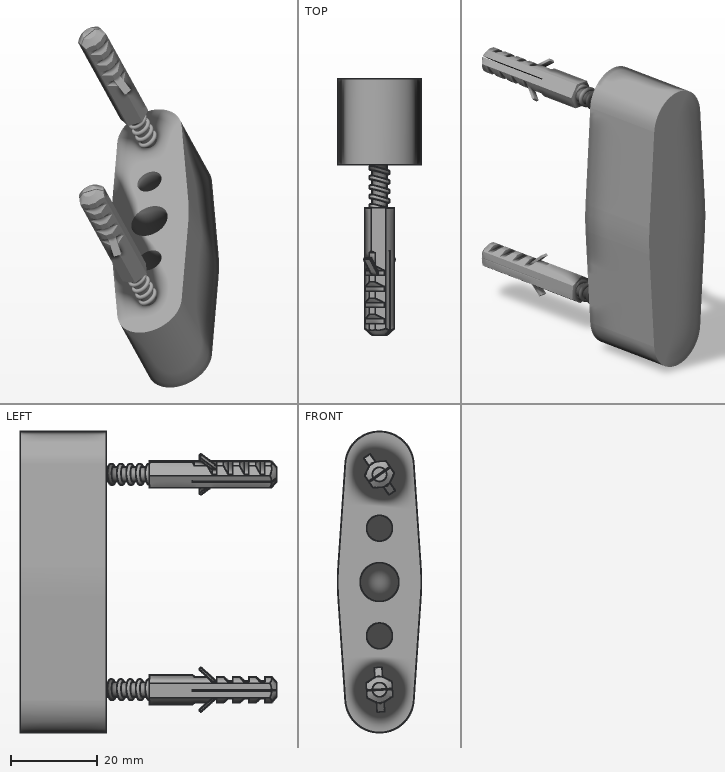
import cadquery as cq
import math

TOTAL_DEPTH = 59.6

BLOCK_HEIGHT = 70.0
BLOCK_DEPTH = 20.0
BLOCK_HALF_WIDTH = 19.49 / 2
END_RADIUS = 8.0
WAIST_RADIUS = 50.0
END_CENTRE = BLOCK_HEIGHT / 2 - END_RADIUS
WAIST_CENTRE = BLOCK_HALF_WIDTH - WAIST_RADIUS

HOLE_DEPTH = 10.0
CENTRE_HOLE_DIAMETER = 9.0
SIDE_HOLE_DIAMETER = 6.0
SCREW_OFFSET = 25.0
SIDE_HOLE_OFFSET = SCREW_OFFSET / 2

CORE_RADIUS = 1.75
THREAD_RADIUS = 2.5
SCREW_GAP = 10.0
SCREW_IN_BLOCK = HOLE_DEPTH
SCREW_IN_PLUG = 10.0
RING_COUNT = 5
RING_PITCH = 2.2
FIRST_RING = 1.25
RING_WIDTH = 1.0
RING_TILT = 15.0
RING_TURN = -10.0

PLUG_LENGTH = TOTAL_DEPTH - BLOCK_DEPTH - SCREW_GAP
PLUG_SIDES = 6
PLUG_HALF_SIDE_ANGLE = 180 / PLUG_SIDES
PLUG_FLAT_RADIUS = 3.0
PLUG_CORNER_RADIUS = PLUG_FLAT_RADIUS / math.cos(math.radians(PLUG_HALF_SIDE_ANGLE))
TIP_RADIUS = 1.65
TIP_LENGTH = 1.2
SLOT_START = 10.0
SLOT_WIDTH = 0.25

LAND_HEIGHT = 3.0
LAND_START = SLOT_START
NOTCH_COUNT = 4
NOTCH_PITCH = 3.75
FIRST_NOTCH_WALL = 15.6
NOTCH_FLOOR_HEIGHT = 1.9
NOTCH_FLOOR_LENGTH = 1.05
BARB_ANGLE = 42.0
BARB_THICKNESS = 0.6
BARB_WIDTH = 1.8
BARB_LENGTH = 4.9
CUT_REACH = 2 * PLUG_CORNER_RADIUS

ANCHORS = [(SCREW_OFFSET, 34.6), (-SCREW_OFFSET, 3.6)]


def make_block():
    centre_distance = math.hypot(WAIST_CENTRE, END_CENTRE)
    tangent_angle = math.atan2(END_CENTRE, -WAIST_CENTRE) - math.acos(
        (WAIST_RADIUS - END_RADIUS) / centre_distance
    )
    end_x = END_RADIUS * math.cos(tangent_angle)
    end_z = END_CENTRE + END_RADIUS * math.sin(tangent_angle)
    waist_x = WAIST_CENTRE + WAIST_RADIUS * math.cos(tangent_angle)
    waist_z = WAIST_RADIUS * math.sin(tangent_angle)
    body = (
        cq.Workplane("XZ")
        .moveTo(waist_x, -waist_z)
        .threePointArc((BLOCK_HALF_WIDTH, 0), (waist_x, waist_z))
        .lineTo(end_x, end_z)
        .threePointArc((0, BLOCK_HEIGHT / 2), (-end_x, end_z))
        .lineTo(-waist_x, waist_z)
        .threePointArc((-BLOCK_HALF_WIDTH, 0), (-waist_x, -waist_z))
        .lineTo(-end_x, -end_z)
        .threePointArc((0, -BLOCK_HEIGHT / 2), (end_x, -end_z))
        .close()
        .extrude(-BLOCK_DEPTH)
    )
    holes = [
        (0, CENTRE_HOLE_DIAMETER),
        (SIDE_HOLE_OFFSET, SIDE_HOLE_DIAMETER),
        (-SIDE_HOLE_OFFSET, SIDE_HOLE_DIAMETER),
        (SCREW_OFFSET, 2 * THREAD_RADIUS),
        (-SCREW_OFFSET, 2 * THREAD_RADIUS),
    ]
    for height, diameter in holes:
        hole = cq.Workplane("XZ").center(0, height).circle(diameter / 2).extrude(-HOLE_DEPTH)
        body = body.cut(hole)
    return body




def make_thread_ring(distance):
    ring_centre_radius = THREAD_RADIUS - RING_WIDTH / 2
    ring = (
        cq.Workplane("XZ")
        .center(ring_centre_radius, 0)
        .circle(RING_WIDTH / 2)
        .revolve(360, (-ring_centre_radius, 0), (-ring_centre_radius, 1))
    )
    return (
        ring.rotate((0, 0, 0), (0, 1, 0), -RING_TILT)
        .rotate((0, 0, 0), (0, 0, 1), RING_TURN)
        .translate((0, 0, distance))
    )


def make_screw():
    shank = cq.Workplane("XY").circle(THREAD_RADIUS).extrude(-SCREW_IN_BLOCK)
    core = cq.Workplane("XY").circle(CORE_RADIUS).extrude(SCREW_GAP + SCREW_IN_PLUG)
    gap_zone = cq.Workplane("XY").circle(2 * THREAD_RADIUS).extrude(SCREW_GAP)
    screw = shank.union(core)
    for index in range(RING_COUNT):
        ring = make_thread_ring(FIRST_RING + index * RING_PITCH)
        screw = screw.union(ring.intersect(gap_zone))
    return screw


def make_corner_cutter(profile):
    return cq.Workplane("YZ").polyline(profile).close().extrude(CUT_REACH, both=True)


def make_barb():
    lean = math.radians(BARB_ANGLE)
    along_y, along_z = math.sin(lean), -math.cos(lean)
    root_y, root_z = NOTCH_FLOOR_HEIGHT, FIRST_NOTCH_WALL
    tip_y = root_y + BARB_LENGTH * along_y
    tip_z = root_z + BARB_LENGTH * along_z
    under_y = tip_y + BARB_THICKNESS * along_z
    under_z = tip_z - BARB_THICKNESS * along_y
    return (
        cq.Workplane("YZ")
        .polyline([
            (root_y, root_z),
            (tip_y, tip_z),
            (under_y, under_z),
            (root_y, root_z - BARB_THICKNESS / along_y),
        ])
        .close()
        .extrude(BARB_WIDTH / 2, both=True)
    )


def make_plug():
    plug = (
        cq.Workplane("XY")
        .polygon(PLUG_SIDES, 2 * PLUG_CORNER_RADIUS)
        .extrude(PLUG_LENGTH)
        .rotate((0, 0, 0), (0, 0, 1), PLUG_HALF_SIDE_ANGLE)
    )

    cone_slope = (PLUG_FLAT_RADIUS - TIP_RADIUS) / TIP_LENGTH
    cone_base_radius = TIP_RADIUS + cone_slope * PLUG_LENGTH
    tip_cone = cq.Workplane(
        cq.Solid.makeCone(cone_base_radius, TIP_RADIUS, PLUG_LENGTH)
    )
    plug = plug.intersect(tip_cone)

    relief = make_corner_cutter([
        (LAND_HEIGHT, PLUG_LENGTH),
        (LAND_HEIGHT, LAND_START + PLUG_CORNER_RADIUS - LAND_HEIGHT),
        (CUT_REACH, LAND_START + PLUG_CORNER_RADIUS - CUT_REACH),
        (CUT_REACH, PLUG_LENGTH),
    ])
    cutters = [relief]
    for index in range(NOTCH_COUNT):
        wall = FIRST_NOTCH_WALL + index * NOTCH_PITCH
        slope_end = wall - NOTCH_FLOOR_LENGTH
        cutters.append(make_corner_cutter([
            (NOTCH_FLOOR_HEIGHT, wall),
            (NOTCH_FLOOR_HEIGHT, slope_end),
            (CUT_REACH, slope_end - (CUT_REACH - NOTCH_FLOOR_HEIGHT)),
            (CUT_REACH, wall),
        ]))
    for cutter in cutters:
        plug = plug.cut(cutter).cut(cutter.rotate((0, 0, 0), (0, 0, 1), 180))

    barb = make_barb()
    plug = plug.union(barb).union(barb.rotate((0, 0, 0), (0, 0, 1), 180))

    slot = (
        cq.Workplane("XY")
        .workplane(offset=SLOT_START)
        .rect(2 * CUT_REACH, SLOT_WIDTH)
        .extrude(PLUG_LENGTH)
    )
    bore = cq.Workplane("XY").circle(CORE_RADIUS).extrude(SCREW_IN_PLUG)
    return plug.cut(slot).cut(bore).translate((0, 0, SCREW_GAP))


def place_on_block(body, height):
    return body.rotate((0, 0, 0), (1, 0, 0), 90).translate((0, 0, height))


block = make_block()
screw = make_screw()
plug = make_plug()

solids = [block.val()]
for height, plug_turn in ANCHORS:
    solids.append(place_on_block(screw, height).val())
    turned_plug = plug.rotate((0, 0, 0), (0, 0, 1), plug_turn)
    solids.append(place_on_block(turned_plug, height).val())

result = cq.Compound.makeCompound(solids)